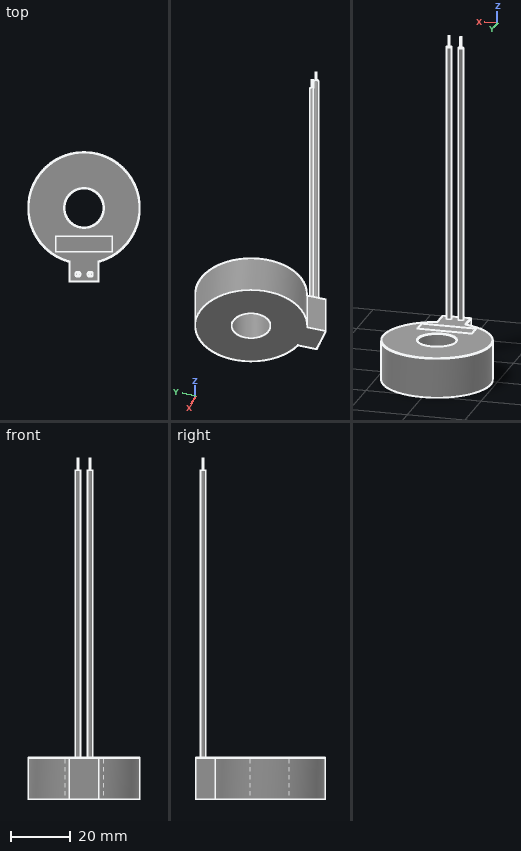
import cadquery as cq

total_height = 114.0
body_diameter = 37.5
overall_depth = 43.4

body_height = 14.0
bore_diameter = 13.0
tab_width = 10.0
tab_reach = overall_depth - body_diameter / 2
rim_chamfer = 0.2

lead_spacing = 4.1
lead_inset = 2.5
insulation_diameter = 1.8
core_diameter = 0.6
stripped_length = 3.9

label_width = 18.9
label_height = 5.2
label_center_y = -12.1
label_depth = 0.1


def ring_body():
    """Bored disc joined to a rectangular tab, with the top edges broken all round."""
    disc = cq.Workplane("XY").circle(body_diameter / 2).extrude(body_height)
    tab = cq.Workplane("XY").center(0, -tab_reach / 2).rect(tab_width, tab_reach).extrude(body_height)
    bore = cq.Workplane("XY").circle(bore_diameter / 2).extrude(body_height)
    return disc.union(tab).cut(bore).faces(">Z").chamfer(rim_chamfer)


def label_recess():
    floor = cq.Workplane("XY", origin=(0, label_center_y, body_height - label_depth))
    return floor.rect(label_width, label_height).extrude(label_depth)


def lead(x):
    """Insulated wire with a bare stripped end; its root is embedded in the tab."""
    root = cq.Workplane("XY", origin=(x, lead_inset - tab_reach, 0))
    insulation = root.circle(insulation_diameter / 2).extrude(total_height - stripped_length)
    core = root.circle(core_diameter / 2).extrude(total_height)
    return insulation.union(core)


result = ring_body().cut(label_recess())
for side in (-1, 1):
    result = result.union(lead(side * lead_spacing / 2))